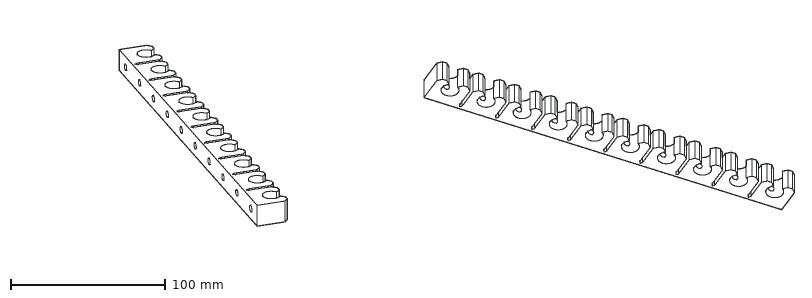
import cadquery as cq
import math

length = 258.0
depth = 22.0
thickness = 15.0
clip_count = 10
slot_width = 2.0
slot_floor = 1.8
slot_taper = 1.5
bore_diameter = 11.5
throat_half_width = 3.0
corner_chamfer = 2.8
lead_in = 2.8
screw_hole_diameter = 4.5

bore_radius = bore_diameter / 2
pitch = (length + slot_width) / clip_count
clip_half_width = (pitch - slot_width) / 2
first_clip_x = -length / 2 + clip_half_width
clip_centers = [first_clip_x + index * pitch for index in range(clip_count)]
slot_centers = [x + pitch / 2 for x in clip_centers[:-1]]
throat_y = depth - lead_in
bore_y = throat_y - math.sqrt(bore_radius**2 - throat_half_width**2)


def clip_bar():
    """Solid bar with every clip's outer front corners chamfered."""
    outline = cq.Workplane("XY").moveTo(-length / 2, 0).lineTo(length / 2, 0)
    for x in reversed(clip_centers):
        left = x - clip_half_width
        right = x + clip_half_width
        outline = (
            outline.lineTo(right, depth - corner_chamfer)
            .lineTo(right - corner_chamfer, depth)
            .lineTo(left + corner_chamfer, depth)
            .lineTo(left, depth - corner_chamfer)
        )
    return outline.close().extrude(thickness)


def clip_sockets():
    """Round bores, each opening to the front through a flared throat."""
    mouth_half_width = throat_half_width + lead_in
    bores = (
        cq.Workplane("XY")
        .pushPoints([(x, bore_y) for x in clip_centers])
        .circle(bore_radius)
        .extrude(thickness)
    )
    for x in clip_centers:
        throat = (
            cq.Workplane("XY")
            .moveTo(x - throat_half_width, bore_y)
            .lineTo(x + throat_half_width, bore_y)
            .lineTo(x + throat_half_width, throat_y)
            .lineTo(x + mouth_half_width, depth)
            .lineTo(x - mouth_half_width, depth)
            .lineTo(x - throat_half_width, throat_y)
            .close()
            .extrude(thickness)
        )
        bores = bores.union(throat)
    return bores


def separating_slots():
    """Narrow V-ended slots between neighbouring clips."""
    half_width = slot_width / 2
    taper_y = slot_floor + slot_taper
    slots = cq.Workplane("XY")
    for x in slot_centers:
        slots = (
            slots.moveTo(x - half_width, depth)
            .lineTo(x - half_width, taper_y)
            .lineTo(x, slot_floor)
            .lineTo(x + half_width, taper_y)
            .lineTo(x + half_width, depth)
            .close()
        )
    return slots.extrude(thickness)


def screw_holes():
    """Holes from the back face into each bore, at mid thickness."""
    return (
        cq.Workplane("XZ")
        .pushPoints([(x, thickness / 2) for x in clip_centers])
        .circle(screw_hole_diameter / 2)
        .extrude(-bore_y)
    )


result = clip_bar().cut(clip_sockets()).cut(separating_slots()).cut(screw_holes())